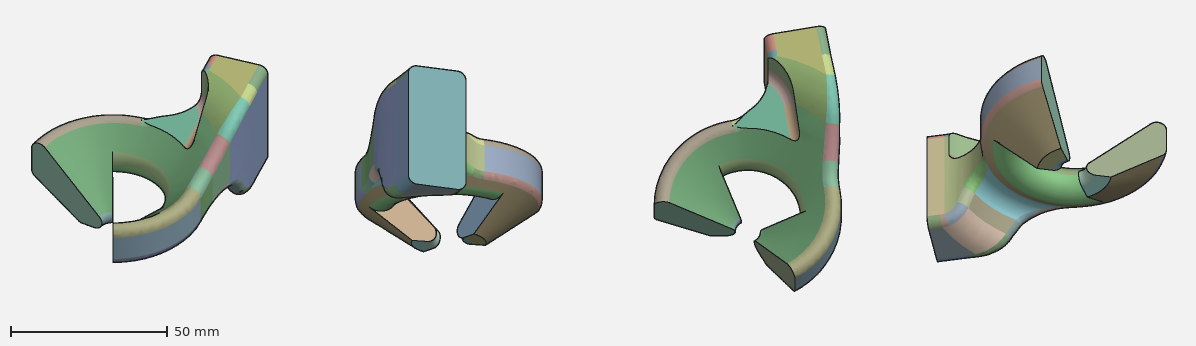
import math

import cadquery as cq


ring_radius = 30.0
ring_start_angle = -70.0
ring_end_angle = 170.0
lobe_angle = 60.0
edge_fillet = 3.0

lobe_inner_radius = 4.0
lobe_tip_round = 3.0
upper_cone_angle = math.radians(45.65)
shoulder_round = 16.6
height = 40.0

foot_radius = 12.0
lower_cone_angle = math.radians(36.3)
groove_start_radius = 29.5
groove_round = 5.7
slope_angle = math.radians(64.5)
base_round = 9.7

bore_radius = 16.8
bore_round = 5.75

arm_left = 14.5
arm_right = 34.5
neck_round = 14.8
neck_x = arm_left - neck_round
neck_y = math.sqrt((ring_radius + neck_round) ** 2 - neck_x**2)
arm_end = 50.6
bulge_start_y = 40.5
flank_angle = math.radians(12.9)
flank_low_y = 8.6
flank_high_y = 18.6
bulge_lean = math.radians(2.2)

pocket_floor = 26.5
pocket_right = 20.4
pocket_arc_y = 30.6
pocket_arc_radius = 16.8

margin = 10.0
tolerance = 1e-3


def polar(centre, distance, angle):
    """Point at a distance and direction (radians) from a centre."""
    return (centre[0] + distance * math.cos(angle), centre[1] + distance * math.sin(angle))


def revolve_sector(profile, start_angle, end_angle):
    """Revolve a closed (radius, z) profile about Z from one angle to another (degrees)."""
    sweep = end_angle - start_angle
    solid = profile.close().revolve(sweep, (0, 0, 0), (0, 1, 0))
    return solid.rotate((0, 0, 0), (0, 0, 1), start_angle)


upper_normal = upper_cone_angle + math.pi / 2
lower_normal = lower_cone_angle - math.pi / 2

tip_centre = (lobe_inner_radius + lobe_tip_round, lobe_tip_round)
upper_start = polar(tip_centre, lobe_tip_round, upper_normal)


def section_body():
    """The ring and arm section swept about Z, without the bore or the outer outline."""
    outer_radius = arm_end + arm_right + margin

    shoulder_low_z = height - shoulder_round * (1 - math.cos(upper_cone_angle))
    shoulder_low = (
        upper_start[0] + (shoulder_low_z - upper_start[1]) / math.tan(upper_cone_angle),
        shoulder_low_z,
    )
    shoulder_centre = polar(shoulder_low, -shoulder_round, upper_normal)
    shoulder_mid = polar(shoulder_centre, shoulder_round, (upper_normal + math.pi / 2) / 2)

    groove_start = (
        groove_start_radius,
        (groove_start_radius - foot_radius) * math.tan(lower_cone_angle),
    )
    groove_centre = polar(groove_start, groove_round, lower_normal)
    slope_normal = math.pi / 2 - slope_angle
    groove_top = polar(groove_centre, groove_round, math.pi / 2)
    slope_start = polar(groove_centre, groove_round, slope_normal)
    base_drop = base_round * (1 - math.cos(slope_angle))
    slope_end = (
        slope_start[0] + (slope_start[1] - base_drop) / math.tan(slope_angle),
        base_drop,
    )
    base_centre = polar(slope_end, base_round, slope_normal)
    base_mid = polar(base_centre, -base_round, (slope_normal + math.pi / 2) / 2)

    profile = (
        cq.Workplane("XZ")
        .moveTo(foot_radius, 0)
        .lineTo(*groove_start)
        .threePointArc(groove_top, slope_start)
        .lineTo(*slope_end)
        .threePointArc(base_mid, (base_centre[0], 0))
        .lineTo(outer_radius, 0)
        .lineTo(outer_radius, height)
        .lineTo(shoulder_centre[0], height)
        .threePointArc(shoulder_mid, shoulder_low)
        .lineTo(*upper_start)
        .threePointArc((lobe_inner_radius, lobe_tip_round), (tip_centre[0], 0))
    )
    return revolve_sector(profile, ring_start_angle, ring_end_angle)


def outline():
    """Upright envelope of the ring disc and the arm."""
    flank_round = flank_low_y / math.sin(flank_angle)
    flank_low = (ring_radius + flank_round * (1 - math.cos(flank_angle)), flank_low_y)
    flank_mid = polar((ring_radius + flank_round, 0), flank_round, math.pi - flank_angle / 2)
    flank_rise = flank_high_y - flank_low_y
    flank_high = (flank_low[0] + flank_rise * math.tan(flank_angle), flank_high_y)
    neck_start = polar((0, 0), ring_radius, math.atan2(neck_y, neck_x))
    neck_mid = polar((neck_x, neck_y), neck_round, -math.pi / 4)
    return (
        cq.Workplane("XY")
        .moveTo(*neck_start)
        .threePointArc(neck_mid, (arm_left, neck_y))
        .lineTo(arm_left, arm_end)
        .lineTo(arm_right, arm_end)
        .lineTo(arm_right, bulge_start_y)
        .spline(
            [flank_high],
            tangents=[
                (math.sin(bulge_lean), -math.cos(bulge_lean)),
                (-math.sin(flank_angle), -math.cos(flank_angle)),
            ],
            includeCurrent=True,
        )
        .lineTo(*flank_low)
        .threePointArc(flank_mid, (ring_radius, 0))
        .threePointArc(polar((0, 0), ring_radius, -0.75 * math.pi), neck_start)
        .close()
        .extrude(height)
    )


def outer_edges(body):
    """Edges where the upright outer walls meet the upper and lower faces."""
    def is_outer_wall(face):
        upright = abs(face.normalAt().z) < tolerance
        centre = face.Center()
        outside = math.hypot(centre.x, centre.y) > ring_radius - edge_fillet
        return upright and outside and centre.y < arm_end - tolerance

    edges = []
    for face in filter(is_outer_wall, body.faces().vals()):
        for edge in face.Edges():
            is_vertical = abs(edge.tangentAt(0.5).z) > 1 - tolerance
            if not is_vertical:
                edges.append(edge)
    return edges


def bore():
    """Cutter for the bore: a narrow upright land with rounds running tangent into both cones."""
    centre_radius = bore_radius + bore_round
    upper_rise = bore_round / math.cos(upper_cone_angle)
    upper_cone_z = upper_start[1] + (centre_radius - upper_start[0]) * math.tan(upper_cone_angle)
    upper_centre = (centre_radius, upper_cone_z - upper_rise)
    lower_rise = bore_round / math.cos(lower_cone_angle)
    lower_cone_z = (centre_radius - foot_radius) * math.tan(lower_cone_angle)
    lower_centre = (centre_radius, lower_cone_z + lower_rise)

    lower_end = polar(lower_centre, bore_round, lower_normal)
    lower_mid = polar(lower_centre, bore_round, (lower_normal - math.pi) / 2)
    upper_mid = polar(upper_centre, bore_round, (upper_normal + math.pi) / 2)
    upper_end = polar(upper_centre, bore_round, upper_normal)
    profile = (
        cq.Workplane("XZ")
        .moveTo(0, -margin)
        .lineTo(lower_end[0], -margin)
        .lineTo(*lower_end)
        .threePointArc(lower_mid, (bore_radius, lower_centre[1]))
        .lineTo(bore_radius, upper_centre[1])
        .threePointArc(upper_mid, upper_end)
        .lineTo(0, upper_end[1])
    )
    return revolve_sector(profile, ring_start_angle + lobe_angle, ring_end_angle - lobe_angle)


def pocket():
    """Cutter for the pocket: flat floor, upright wall and a round between them."""
    arc_centre = (pocket_right - pocket_arc_radius, pocket_arc_y)
    wall_mid = polar(arc_centre, pocket_arc_radius, math.pi / 4)
    return (
        cq.Workplane("XY", origin=(0, 0, pocket_floor))
        .moveTo(0, 0)
        .lineTo(pocket_right, 0)
        .lineTo(pocket_right, pocket_arc_y)
        .threePointArc(wall_mid, (arc_centre[0], pocket_arc_y + pocket_arc_radius))
        .lineTo(0, pocket_arc_y + pocket_arc_radius)
        .close()
        .extrude(height)
        .edges("<Z")
        .edges(">X or >Y")
        .fillet(edge_fillet)
    )


body = section_body().intersect(outline())
body = cq.Workplane(body.val().fillet(edge_fillet, outer_edges(body)))
result = body.cut(bore()).cut(pocket())